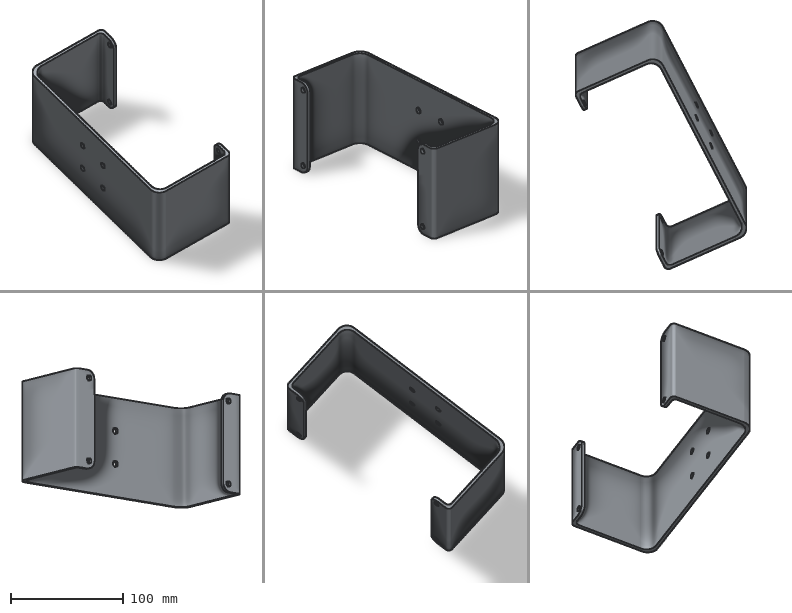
import cadquery as cq

width = 190.0
depth = 83.0
height = 90.0
wall = 3.0

front_bend_radius = 10.0
rear_bend_radius = 4.0

lip_length = 21.0
lip_corner_radius = 8.0
lip_hole_diameter = 5.0
lip_hole_from_end = 6.0
lip_hole_from_edge = 7.2

front_hole_diameter = 5.5
front_hole_spacing = 30.0

half_width = width / 2
half_depth = depth / 2
half_height = height / 2
lip_end_x = half_width - lip_length


def rounded_block(block_width, block_depth, block_height):
    """Upright block with large front and small rear vertical edge radii."""
    return (
        cq.Workplane("XY")
        .box(block_width, block_depth, block_height)
        .edges("|Z and <Y")
        .fillet(front_bend_radius)
        .edges("|Z and >Y")
        .fillet(rear_bend_radius)
    )


def bent_strip():
    """Thin wall around an open interior, with a wide gap between the rear lips."""
    outside = rounded_block(width, depth, height)
    inside = rounded_block(width - 2 * wall, depth - 2 * wall, height)
    rear_gap = (
        cq.Workplane("XY")
        .box(2 * lip_end_x, 2 * wall, height)
        .translate((0, half_depth, 0))
    )
    return outside.cut(inside).cut(rear_gap)


def round_lip_corners(body):
    """Round the top and bottom free corners of both lips."""
    for side in (-1, 1):
        for end in (-1, 1):
            corner = (side * lip_end_x, half_depth - wall / 2, end * half_height)
            edge = cq.selectors.NearestToPointSelector(corner)
            body = body.edges("|Y").edges(edge).fillet(lip_corner_radius)
    return body


def drill_along_y(body, spacing_x, spacing_z, diameter, wall_center_y):
    """Cut a 2 x 2 pattern of holes through one wall parallel to XZ."""
    drills = (
        cq.Workplane("XZ", origin=(0, wall_center_y, 0))
        .rarray(spacing_x, spacing_z, 2, 2)
        .circle(diameter / 2)
        .extrude(wall, both=True)
    )
    return body.cut(drills)


result = round_lip_corners(bent_strip())
result = drill_along_y(
    result,
    front_hole_spacing,
    front_hole_spacing,
    front_hole_diameter,
    -half_depth + wall / 2,
)
result = drill_along_y(
    result,
    2 * (lip_end_x + lip_hole_from_end),
    height - 2 * lip_hole_from_edge,
    lip_hole_diameter,
    half_depth - wall / 2,
)